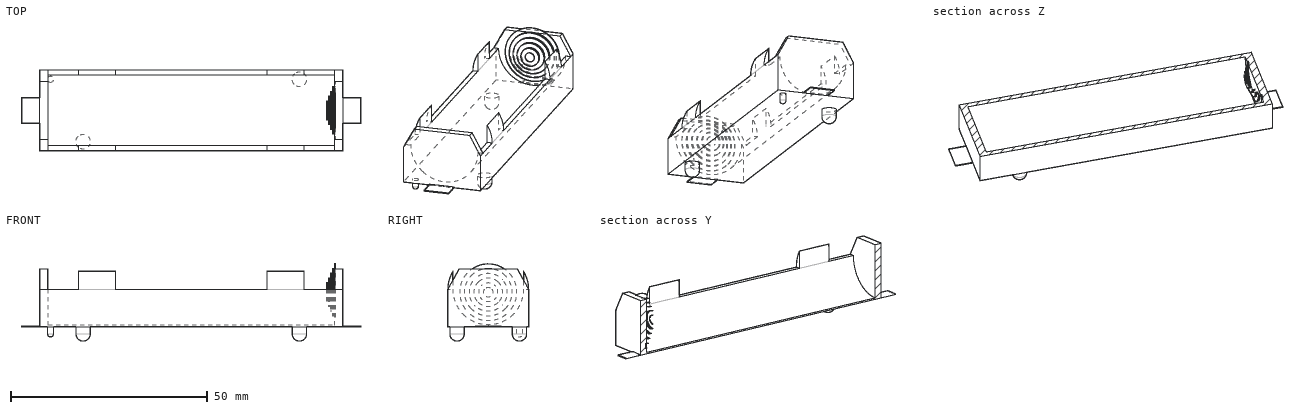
import cadquery as cq
import math

HOUSING_LENGTH = 77.25
HOUSING_WIDTH = 20.65
SIDE_HEIGHT = 9.5
END_HEIGHT = 14.8
END_THICKNESS = 2.1
END_TOP_WIDTH = 14.9
TROUGH_RADIUS = 9.0

CLIP_LENGTH = 9.5
CLIP_TOP = 14.2
CLIP_OFFSET = 24.0

FOOT_STRAIGHT = 1.8
PEG_DIAMETER = 3.7
PEG_X = 27.6
FOOT_Y = 7.95
PIN_DIAMETER = 1.55
PIN_X = -35.9

OVERALL_LENGTH = 86.4
TAB_WIDTH = 6.6
TAB_THICKNESS = 0.3

RING_COUNT = 5
RING_DIAMETER_STEP = 2.4
RING_THICKNESS = 0.3
RING_PITCH = 0.5
SPRING_HEIGHT = 8.8

half_length = HOUSING_LENGTH / 2
half_width = HOUSING_WIDTH / 2
inner_half_length = half_length - END_THICKNESS
spring_back_x = inner_half_length + RING_THICKNESS


def make_end_wall(start_x):
    """Upper part of an end wall, with both top corners cut off."""
    return (
        cq.Workplane("YZ", origin=(start_x, 0, 0))
        .moveTo(-half_width, SIDE_HEIGHT)
        .lineTo(half_width, SIDE_HEIGHT)
        .lineTo(END_TOP_WIDTH / 2, END_HEIGHT)
        .lineTo(-END_TOP_WIDTH / 2, END_HEIGHT)
        .close()
        .extrude(END_THICKNESS)
    )


def make_clip(center_x, side):
    """Clip with a flat inner face and a back that curves inward; side is +1 or -1 along Y."""
    height = CLIP_TOP - SIDE_HEIGHT
    lean = half_width - TROUGH_RADIUS
    back_radius = (height**2 + lean**2) / (2 * lean)
    middle_height = height / 2
    middle_lean = back_radius - math.sqrt(back_radius**2 - middle_height**2)
    return (
        cq.Workplane("YZ", origin=(center_x - CLIP_LENGTH / 2, 0, 0))
        .moveTo(side * TROUGH_RADIUS, SIDE_HEIGHT)
        .lineTo(side * half_width, SIDE_HEIGHT)
        .threePointArc(
            (side * (half_width - middle_lean), SIDE_HEIGHT + middle_height),
            (side * TROUGH_RADIUS, CLIP_TOP),
        )
        .close()
        .extrude(CLIP_LENGTH)
    )


def make_foot(x, y, diameter):
    """Downward cylinder ending in a hemisphere."""
    radius = diameter / 2
    shaft = cq.Workplane("XY", origin=(x, y, 0)).circle(radius).extrude(-FOOT_STRAIGHT)
    tip = cq.Workplane("XY", origin=(x, y, -FOOT_STRAIGHT)).sphere(radius)
    return shaft.union(tip)


def make_housing():
    block = cq.Workplane("XY").box(
        HOUSING_LENGTH, HOUSING_WIDTH, SIDE_HEIGHT, centered=(True, True, False)
    )
    trough = (
        cq.Workplane("YZ", origin=(-inner_half_length, 0, SIDE_HEIGHT))
        .circle(TROUGH_RADIUS)
        .extrude(2 * inner_half_length)
    )
    housing = block.cut(trough)
    for start_x in (-half_length, inner_half_length):
        housing = housing.union(make_end_wall(start_x))
    for center_x in (-CLIP_OFFSET, CLIP_OFFSET):
        for side in (-1, 1):
            housing = housing.union(make_clip(center_x, side))
    housing = housing.cut(make_spring_ring(0))
    for side in (-1, 1):
        housing = housing.union(make_foot(side * PEG_X, side * FOOT_Y, PEG_DIAMETER))
    return housing.union(make_foot(PIN_X, FOOT_Y, PIN_DIAMETER))


def make_tab(side):
    """Flat tab against one end of the housing; side is +1 or -1 along X."""
    length = (OVERALL_LENGTH - HOUSING_LENGTH) / 2
    center_x = side * (half_length + length / 2)
    return cq.Workplane("XY", origin=(center_x, 0, 0)).box(
        length, TAB_WIDTH, TAB_THICKNESS, centered=(True, True, False)
    )


def make_spring_plate(back_x, diameter):
    """Thin round plate across the trough, reaching from back_x towards -X."""
    return (
        cq.Workplane("YZ", origin=(back_x, 0, SPRING_HEIGHT))
        .circle(diameter / 2)
        .extrude(-RING_THICKNESS)
    )


def make_spring_ring(index):
    """Ring number index, counted from the largest one, which is sunk flush into the end wall."""
    back_x = spring_back_x - index * RING_PITCH
    inner_diameter = (RING_COUNT - index) * RING_DIAMETER_STEP
    outer_diameter = inner_diameter + RING_DIAMETER_STEP
    hole = make_spring_plate(back_x, inner_diameter)
    return make_spring_plate(back_x, outer_diameter).cut(hole)


housing = make_housing()
tabs = [make_tab(side) for side in (-1, 1)]
spring_rings = [make_spring_ring(index) for index in range(RING_COUNT)]
smallest_ring_back_x = spring_back_x - (RING_COUNT - 1) * RING_PITCH
spring_core = make_spring_plate(smallest_ring_back_x, RING_DIAMETER_STEP)

result = cq.Compound.makeCompound(
    [
        housing.val(),
        *[tab.val() for tab in tabs],
        *[ring.val() for ring in spring_rings],
        spring_core.val(),
    ]
)